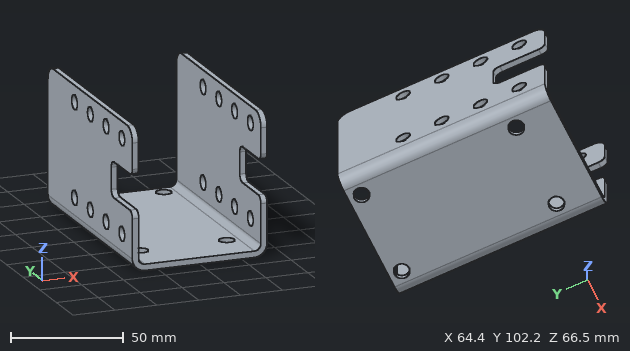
import cadquery as cq


width = 64.39
length = 102.16
height = 66.55

thickness = 3.048
bend_inner_radius = 3.048
bend_outer_radius = bend_inner_radius + thickness

wall_corner_radius = 6.35

base_hole_diameter = 7.14
base_hole_spacing_x = 41.275
base_hole_spacing_y = 76.2
base_hole_back_margin = 6.35

wall_hole_diameter = 6.76
wall_hole_count = 4
wall_hole_pitch = 19.05
wall_hole_front_margin = 12.7
wall_row_top_margin = 7.94
wall_row_spacing = 44.45

slot_depth = 25.4
slot_width = 16.67
slot_radius = 3.175

front_y = -length / 2
back_y = length / 2
upper_row_z = height - wall_row_top_margin
lower_row_z = upper_row_z - wall_row_spacing
slot_center_z = (upper_row_z + lower_row_z) / 2


def channel():
    """Bent U section running the full length."""
    outer = (
        cq.Workplane("XY")
        .box(width, length, height, centered=(True, True, False))
        .edges("|Y and <Z")
        .fillet(bend_outer_radius)
    )
    inner = (
        cq.Workplane("XY")
        .workplane(offset=thickness)
        .box(width - 2 * thickness, length, height, centered=(True, True, False))
        .edges("|Y and <Z")
        .fillet(bend_inner_radius)
    )
    return outer.cut(inner)


def round_wall_corners(body):
    """Round the two upper corners of each wall."""
    return body.faces(">Z").edges("|X").fillet(wall_corner_radius)


def slot_cutter():
    """Slot through both walls, with rounded inner corners."""
    return (
        cq.Workplane("XY")
        .box(width, slot_depth, slot_width)
        .translate((0, front_y + slot_depth / 2, slot_center_z))
        .edges("|X and >Y")
        .fillet(slot_radius)
    )


def round_slot_mouth(body):
    """Round the corners where the slot opens onto the front ends of the walls."""
    for side in (-1, 1):
        for edge_side in (-1, 1):
            mouth_corner = (
                side * (width - thickness) / 2,
                front_y,
                slot_center_z + edge_side * slot_width / 2,
            )
            body = body.edges(cq.selectors.NearestToPointSelector(mouth_corner)).fillet(slot_radius)
    return body


def wall_hole_cutter():
    """Two rows of holes running through both walls."""
    centers = [
        (front_y + wall_hole_front_margin + i * wall_hole_pitch, row_z)
        for row_z in (lower_row_z, upper_row_z)
        for i in range(wall_hole_count)
    ]
    return (
        cq.Workplane("YZ")
        .pushPoints(centers)
        .circle(wall_hole_diameter / 2)
        .extrude(width / 2, both=True)
    )


def base_hole_cutter():
    """Four mounting holes through the base, set toward the back end."""
    pattern_center_y = back_y - base_hole_back_margin - base_hole_spacing_y / 2
    return (
        cq.Workplane("XY")
        .center(0, pattern_center_y)
        .rarray(base_hole_spacing_x, base_hole_spacing_y, 2, 2)
        .circle(base_hole_diameter / 2)
        .extrude(thickness)
    )


bracket = round_wall_corners(channel())
bracket = round_slot_mouth(bracket.cut(slot_cutter()))
result = bracket.cut(wall_hole_cutter()).cut(base_hole_cutter())